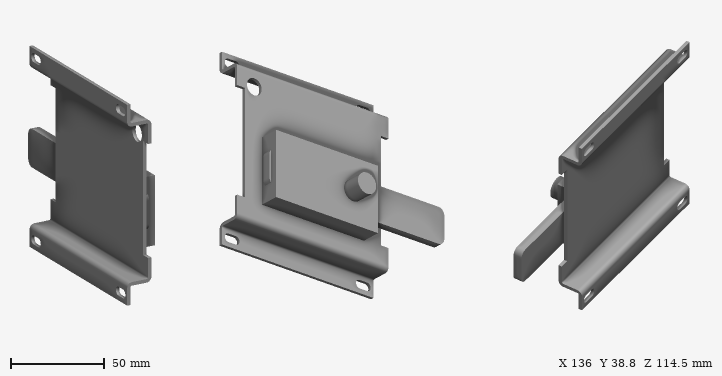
import cadquery as cq


overall_length = 136.0

plate_width = 104.0
plate_height = 114.5
plate_depth = 15.0
thickness = 2.0
inner_bend_radius = 1.0
outer_bend_radius = inner_bend_radius + thickness
foot_height = 12.9

notch_depth = 5.3
notch_end_offset = 24.8
slot_length = 10.0
slot_width = 5.0
slot_side_offset = 7.0
slot_end_offset = 5.3
round_hole_diameter = 10.0
round_hole_side_offset = 11.7
round_hole_top_offset = 22.2

housing_width = 70.0
housing_height = 40.0
housing_depth = 12.0
housing_z = -13.3
bolt_length = 120.1
bolt_height = 22.0
bolt_thickness = 5.0
bolt_corner_radius = 4.1
bolt_gap = 2.7
bolt_left_reach = overall_length - plate_width / 2
pin_diameter = 12.5
pin_length = 11.8
pin_x = -18.0

half_width = plate_width / 2
half_height = plate_height / 2
housing_back = plate_depth + housing_depth


def box_from(width, depth, height, x, y_front, z):
    """Box centred on X and Z, growing toward +Y from y_front."""
    return cq.Workplane("XY").box(width, depth, height).translate((x, y_front + depth / 2, z))


def cylinder_from(diameter, length, x, y_front, z):
    """Cylinder growing toward +Y from y_front."""
    base = cq.Workplane("XZ", origin=(x, y_front, z))
    return base.circle(diameter / 2).extrude(-length)


def make_plate():
    """Hat-shaped sheet: a raised plate between two foot flanges."""
    raised_face = plate_depth - thickness
    web_inner = half_height - foot_height
    web_outer = web_inner + thickness
    plate = box_from(plate_width, thickness, 2 * web_outer, 0, raised_face, 0)
    for side in (1, -1):
        web_z = side * (web_inner + web_outer) / 2
        foot_z = side * (half_height - foot_height / 2)
        web = box_from(plate_width, plate_depth, thickness, 0, 0, web_z)
        foot = box_from(plate_width, thickness, foot_height, 0, 0, foot_z)
        plate = plate.union(web).union(foot)
    plate = plate.clean()

    bends = (
        (0, web_inner, outer_bend_radius),
        (thickness, web_outer, inner_bend_radius),
        (raised_face, web_inner, inner_bend_radius),
        (plate_depth, web_outer, outer_bend_radius),
    )
    for y, z, radius in bends:
        for side in (1, -1):
            corner = cq.selectors.NearestToPointSelector((0, y, side * z))
            plate = plate.edges("|X").edges(corner).fillet(radius)
    return plate


def cut_openings(plate):
    """Side notches, mounting slots in the feet and one round hole."""
    notch_height = plate_height - 2 * notch_end_offset
    for side in (1, -1):
        notch_x = side * (half_width - notch_depth / 2)
        plate = plate.cut(box_from(notch_depth, plate_depth, notch_height, notch_x, 0, 0))

    slots = (
        cq.Workplane("XZ")
        .rarray(plate_width - 2 * slot_side_offset, plate_height - 2 * slot_end_offset, 2, 2)
        .slot2D(slot_length, slot_width)
        .extrude(-thickness)
    )
    hole_x = half_width - round_hole_side_offset
    hole_z = half_height - round_hole_top_offset
    hole = cylinder_from(round_hole_diameter, plate_depth, hole_x, 0, hole_z)
    return plate.cut(slots).cut(hole)


def make_lock():
    """Housing block with a round-cornered bolt through it and a pin on its back."""
    housing = box_from(housing_width, housing_depth, housing_height, 0, plate_depth, housing_z)
    bolt_x = bolt_length / 2 - bolt_left_reach
    bolt_front = plate_depth + bolt_gap
    bolt = box_from(bolt_length, bolt_thickness, bolt_height, bolt_x, bolt_front, housing_z)
    bolt = bolt.edges("|Y").fillet(bolt_corner_radius)
    pin = cylinder_from(pin_diameter, pin_length, pin_x, housing_back, housing_z)
    return housing.union(bolt).union(pin)


result = cut_openings(make_plate()).union(make_lock())